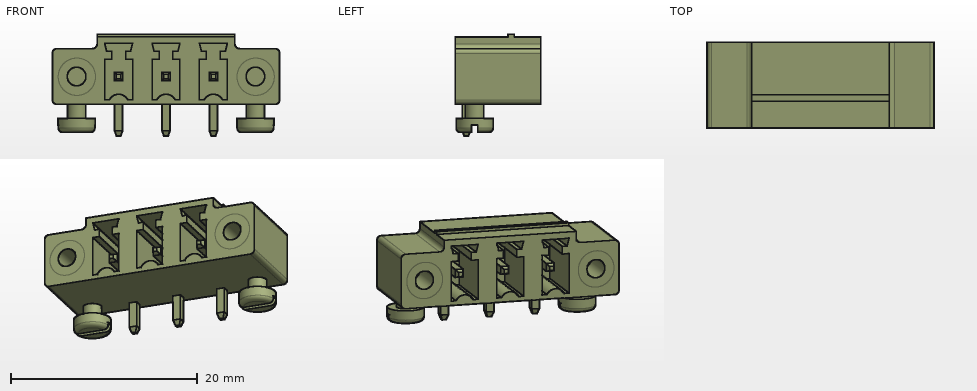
import cadquery as cq
import math


PITCH = 5.08
CONTACT_COUNT = 3
LENGTH = 24.36
DEPTH = 9.2
FLANGE_HEIGHT = 6.0
HEIGHT = 7.25
RAISED_LENGTH = 14.76
CORNER_RADIUS = 0.5

RIDGE_WIDTH = 0.7
RIDGE_HEIGHT = 0.3
RIDGE_Y = 3.2

CAVITY_DEPTH = 7.2
CAVITY_HALF_WIDTH = 1.5
CAVITY_FLOOR = 0.5
CAVITY_SHOULDER = 4.85
NECK_HALF_WIDTH = 0.75
NECK_TOP = 5.7
DOVETAIL_BASE_HALF_WIDTH = 1.28
CAVITY_TOP = 6.55
BUMP_RADIUS = 1.1

PIN_SIZE = 0.88
PIN_TIP_SIZE = 0.46
PIN_TIP_LENGTH = 0.6
PIN_AXIS_Z = 3.0
PIN_FRONT_Y = 1.5
PIN_LEG_Y = DEPTH - 1.2
PIN_BOTTOM = -3.4

FLANGE_CENTRE_X = LENGTH / 2 - 2.6
INSERT_DIAMETER = 4.0
INSERT_HOLE_DIAMETER = 2.0
INSERT_AXIS_Z = FLANGE_HEIGHT / 2
INSERT_LENGTH = 6.0
INSERT_HOLE_DEPTH = 5.0

SCREW_Y = DEPTH - 2.1
SHANK_DIAMETER = 2.0
SHANK_LENGTH = 1.5
HEAD_DIAMETER = 4.0
HEAD_HEIGHT = 1.5
HEAD_EDGE_RADIUS = 0.5
DRIVE_SLOT_WIDTH = 0.65
DRIVE_SLOT_DEPTH = 0.8


def facing_plane(x, z):
    """Plane on the mating face, with its normal pointing into the housing (+Y)."""
    return cq.Workplane(cq.Plane(origin=(x, 0, z), xDir=(1, 0, 0), normal=(0, 1, 0)))


def make_housing():
    flange_block = cq.Workplane("XY").box(LENGTH, DEPTH, FLANGE_HEIGHT, centered=(True, False, False))
    raised_block = cq.Workplane("XY").box(RAISED_LENGTH, DEPTH, HEIGHT, centered=(True, False, False))
    housing = flange_block.union(raised_block).edges("|Y").edges("not >Z").fillet(CORNER_RADIUS)
    ridge = (
        cq.Workplane("XY")
        .box(RAISED_LENGTH, RIDGE_WIDTH, RIDGE_HEIGHT, centered=(True, True, False))
        .translate((0, RIDGE_Y, HEIGHT))
    )
    return housing.union(ridge)


def make_cavity(x):
    """Cavity with a round-topped floor bump, a neck and a dovetail above it."""
    bump_half_width = math.sqrt(BUMP_RADIUS**2 - CAVITY_FLOOR**2)
    return (
        cq.Workplane("XZ")
        .moveTo(-bump_half_width, CAVITY_FLOOR)
        .threePointArc((0, BUMP_RADIUS), (bump_half_width, CAVITY_FLOOR))
        .lineTo(CAVITY_HALF_WIDTH, CAVITY_FLOOR)
        .lineTo(CAVITY_HALF_WIDTH, CAVITY_SHOULDER)
        .lineTo(NECK_HALF_WIDTH, CAVITY_SHOULDER)
        .lineTo(NECK_HALF_WIDTH, NECK_TOP)
        .lineTo(DOVETAIL_BASE_HALF_WIDTH, NECK_TOP)
        .lineTo(CAVITY_HALF_WIDTH, CAVITY_TOP)
        .lineTo(-CAVITY_HALF_WIDTH, CAVITY_TOP)
        .lineTo(-DOVETAIL_BASE_HALF_WIDTH, NECK_TOP)
        .lineTo(-NECK_HALF_WIDTH, NECK_TOP)
        .lineTo(-NECK_HALF_WIDTH, CAVITY_SHOULDER)
        .lineTo(-CAVITY_HALF_WIDTH, CAVITY_SHOULDER)
        .lineTo(-CAVITY_HALF_WIDTH, CAVITY_FLOOR)
        .close()
        .extrude(-CAVITY_DEPTH)
        .translate((x, 0, 0))
    )


def make_pin_arm(tip, direction, length):
    """Square bar of the given length whose free end, at tip, tapers; direction points to its root."""
    plane = cq.Plane(origin=tip, xDir=(1, 0, 0), normal=direction)
    taper = (
        cq.Workplane(plane)
        .rect(PIN_TIP_SIZE, PIN_TIP_SIZE)
        .workplane(offset=PIN_TIP_LENGTH)
        .rect(PIN_SIZE, PIN_SIZE)
        .loft(ruled=True)
    )
    bar = (
        cq.Workplane(plane)
        .workplane(offset=PIN_TIP_LENGTH)
        .rect(PIN_SIZE, PIN_SIZE)
        .extrude(length - PIN_TIP_LENGTH)
    )
    return taper.union(bar)


def make_pin(x):
    """Contact arm along Y joined to a solder leg along Z inside the back wall."""
    arm_length = PIN_LEG_Y + PIN_SIZE / 2 - PIN_FRONT_Y
    leg_length = PIN_AXIS_Z + PIN_SIZE / 2 - PIN_BOTTOM
    arm = make_pin_arm((x, PIN_FRONT_Y, PIN_AXIS_Z), (0, 1, 0), arm_length)
    leg = make_pin_arm((x, PIN_LEG_Y, PIN_BOTTOM), (0, 0, 1), leg_length)
    return arm.union(leg)


def make_insert_seat(x):
    return facing_plane(x, INSERT_AXIS_Z).circle(INSERT_DIAMETER / 2).extrude(INSERT_LENGTH)


def make_insert(x):
    """Insert with a blind hole open at the mating face."""
    hole = facing_plane(x, INSERT_AXIS_Z).circle(INSERT_HOLE_DIAMETER / 2).extrude(INSERT_HOLE_DEPTH)
    return make_insert_seat(x).cut(hole)


def make_screw(x):
    shank = cq.Workplane("XY").circle(SHANK_DIAMETER / 2).extrude(-SHANK_LENGTH)
    head = (
        cq.Workplane("XY")
        .workplane(offset=-SHANK_LENGTH - HEAD_HEIGHT)
        .circle(HEAD_DIAMETER / 2)
        .extrude(HEAD_HEIGHT)
        .faces("<Z")
        .edges()
        .fillet(HEAD_EDGE_RADIUS)
    )
    drive_slot = (
        cq.Workplane("XY")
        .box(HEAD_DIAMETER, DRIVE_SLOT_WIDTH, DRIVE_SLOT_DEPTH, centered=(True, True, False))
        .translate((0, 0, -SHANK_LENGTH - HEAD_HEIGHT))
    )
    return shank.union(head.cut(drive_slot)).translate((x, SCREW_Y, 0))


result = make_housing()
for i in range(CONTACT_COUNT):
    contact_x = (i - (CONTACT_COUNT - 1) / 2) * PITCH
    result = result.cut(make_cavity(contact_x)).union(make_pin(contact_x))
for flange_x in (-FLANGE_CENTRE_X, FLANGE_CENTRE_X):
    result = result.union(make_screw(flange_x)).cut(make_insert_seat(flange_x))
for flange_x in (-FLANGE_CENTRE_X, FLANGE_CENTRE_X):
    result = result.union(make_insert(flange_x), clean=False)